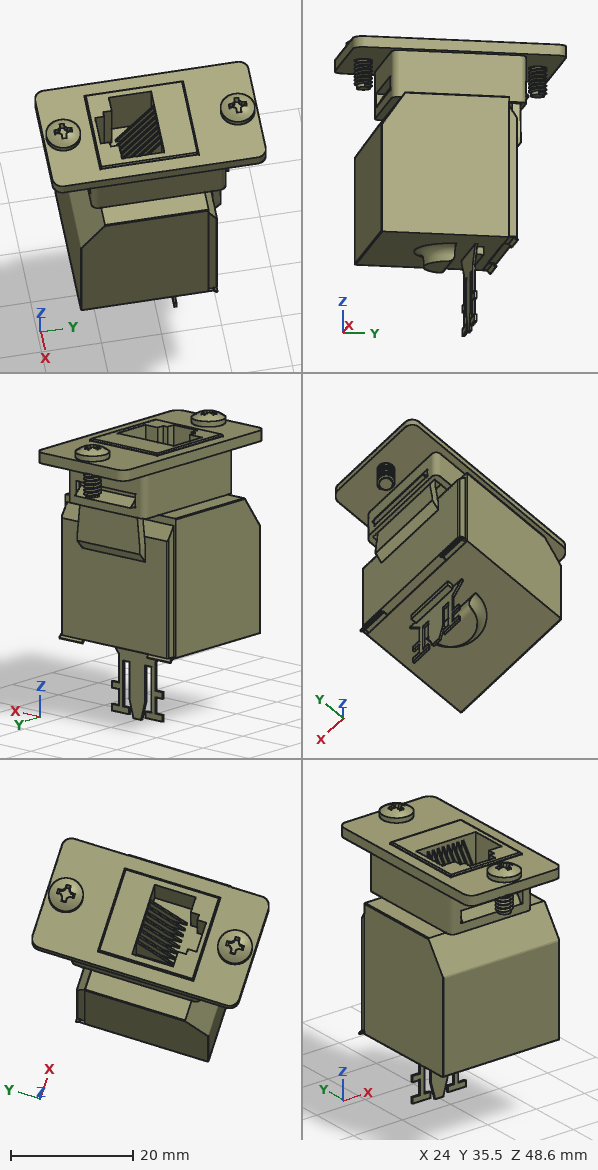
import cadquery as cq
import math


overall_height = 48.6

plate_width, plate_length, plate_thick = 19.25, 35.55, 1.85
plate_corner_radius = 1.65
sleeve_width, sleeve_length, sleeve_depth = 16.8, 22.4, 7.9
sleeve_corner_radius = 1.05
window_width, window_top, window_bottom = 12.75, -3.95, -6.2

nose_width, nose_front, nose_rear = 14.75, -9.7, 6.75
nose_rise, nose_chamfer = 0.35, 0.25
tooth_width = 12.05
port_width, port_rear, port_front = 12.25, 1.2, -5.85
port_floor = -7.05
key_steps = [(6.95, -7.25), (5.15, -8.75)]
contact_count, contact_pitch, contact_width = 8, 1.0, 0.35
contact_row_center = -0.1
contact_top, contact_end = 1.35, -5.15
arm_inner, arm_outer = 9.15, 10.5
arm_grip_width, arm_grip_top, arm_bevel_top, arm_bottom = 13.6, -13.35, -14.25, -15.8
bridge_depth = 1.45
rear_tooth_reach = 1.45

screw_spacing = 29.07
head_radius, head_side_height, head_height = 2.8, 0.95, 2.0
head_rim_radius = 0.2
shank_radius, root_radius = 1.45, 1.1
thread_pitch, thread_length = 0.65, 4.65
ridge_half_height, ridge_overlap = 0.3, 0.05
recess_length, recess_floor_length, recess_width, recess_depth = 3.1, 2.25, 0.75, 1.05

housing_width, housing_front, housing_rear = 24.0, -13.75, 7.55
housing_top, housing_bottom = -sleeve_depth, -31.55
front_slope_rear, front_slope_bottom = -9.7, -13.55
housing_chamfer = 0.15
stop_width, stop_front, stop_rear, stop_height = 8.75, 3.6, 4.7, 1.3
cover_width, cover_corner_chamfer = 23.15, 0.2
cover_rear, cover_top, cover_slope_bottom = 9.05, -9.15, -11.5
lip_length, lip_bend, lip_thick = 4.95, 8.35, 0.15
lip_hook_drop, lip_tip_width = 0.6, 0.2

grommet_rear, grommet_radius, grommet_height = -0.1, 4.35, 2.63
cove_radius, grommet_edge_radius = 1.55, 0.95

clip_y, clip_thick = 3.15, 0.4
shoulder_half, shoulder_bottom = 6.2, -34.45
leg_outer, leg_inner = 3.95, 3.05
slot_top = -35.45
barb_half, barb_top, barb_bottom = 5.5, -39.35, -40.45
foot_inner, foot_top, foot_bottom = 1.8, -43.2, -44.35
tongue_half, tongue_taper_top = 1.7, -41.6
tongue_tip_half = 0.85


def block(x_range, y_range, z_range):
    """Rectangular block between the given limits."""
    (x0, x1), (y0, y1), (z0, z1) = x_range, y_range, z_range
    return cq.Workplane("XY").box(x1 - x0, y1 - y0, z1 - z0, centered=False).translate((x0, y0, z0))


def centered_block(width, y_range, z_range):
    """Rectangular block symmetric about X = 0."""
    return block((-width / 2, width / 2), y_range, z_range)


def side_prism(points, width):
    """Prism of a (Y, Z) outline, symmetric about X = 0."""
    return cq.Workplane("YZ").polyline(points).close().extrude(width / 2, both=True)


def make_face_plate():
    plate = cq.Workplane("XY").rect(plate_width, plate_length).extrude(plate_thick)
    plate = plate.edges("|Z").fillet(plate_corner_radius)
    sleeve = cq.Workplane("XY").rect(sleeve_width, sleeve_length).extrude(-sleeve_depth)
    sleeve = sleeve.edges("|Z").fillet(sleeve_corner_radius)
    cavity = centered_block(nose_width, (nose_front, arm_outer), (-sleeve_depth, 0))
    opening = centered_block(nose_width, (nose_front, nose_rear), (0, plate_thick))
    windows = centered_block(window_width, (-sleeve_length, sleeve_length), (window_bottom, window_top))
    screw_holes = (
        cq.Workplane("XY")
        .pushPoints([(0, -screw_spacing / 2), (0, screw_spacing / 2)])
        .circle(shank_radius)
        .extrude(plate_thick)
    )
    return plate.union(sleeve).cut(cavity).cut(opening).cut(windows).cut(screw_holes)


def make_port():
    """Plug opening with its stepped key notch, as a cutting body."""
    top = plate_thick + nose_rise
    port = centered_block(port_width, (port_front, port_rear), (port_floor, top))
    for width, front in key_steps:
        port = port.union(centered_block(width, (front, port_rear), (port_floor, top)))
    return port


def make_contact(x):
    """One contact, a slanting rib that fills the corner below its sloping edge."""
    outline = [(port_rear, contact_top), (contact_end, port_floor), (port_rear, port_floor)]
    return side_prism(outline, contact_width).translate((x, 0, 0))


def make_latch_arm():
    """Flexible rear arm with a beveled, wider grip and a catch tooth."""
    profile = side_prism(
        [(arm_inner, 0), (arm_outer, 0), (arm_outer, arm_bevel_top), (arm_inner, arm_bottom)],
        arm_grip_width,
    )
    half_tooth, half_grip = tooth_width / 2, arm_grip_width / 2
    outline = [
        (-half_tooth, 0), (half_tooth, 0), (half_tooth, window_bottom),
        (half_grip, arm_grip_top), (half_grip, arm_bottom),
        (-half_grip, arm_bottom), (-half_grip, arm_grip_top), (-half_tooth, window_bottom),
    ]
    width_limit = cq.Workplane("XZ").polyline(outline).close().extrude(-sleeve_length)
    tooth = side_prism(
        [
            (arm_outer, window_bottom + rear_tooth_reach),
            (arm_outer, window_bottom),
            (arm_outer + rear_tooth_reach, window_bottom),
        ],
        tooth_width,
    )
    bridge = centered_block(tooth_width, (nose_rear, arm_outer), (-bridge_depth, 0))
    return profile.intersect(width_limit).union(tooth).union(bridge)


def make_jack():
    nose_top = plate_thick + nose_rise
    jack = centered_block(nose_width, (nose_front, nose_rear), (-sleeve_depth, nose_top))
    jack = jack.faces(">Z").edges().chamfer(nose_chamfer)
    front_tooth = side_prism(
        [(nose_front, window_top), (nose_front, window_bottom), (-sleeve_length / 2, window_bottom)],
        tooth_width,
    )
    jack = jack.cut(make_port()).union(front_tooth).union(make_latch_arm())
    for i in range(contact_count):
        jack = jack.union(make_contact(contact_row_center + (i - (contact_count - 1) / 2) * contact_pitch))
    return jack


def make_thread():
    """Root cylinder with a helical ridge between the plate and the screw tip."""
    base = root_radius - ridge_overlap
    ridge_bottom = ridge_half_height - thread_length
    helix = cq.Wire.makeHelix(thread_pitch, thread_length - 2 * ridge_half_height, base)
    ridge = (
        cq.Workplane("XZ")
        .polyline([(base, -ridge_half_height), (shank_radius, 0), (base, ridge_half_height)])
        .close()
        .sweep(cq.Workplane(obj=helix), isFrenet=True)
    )
    root = cq.Workplane("XY").circle(root_radius).extrude(-thread_length)
    return root.union(ridge.translate((0, 0, ridge_bottom)))


def make_recess():
    """Cross recess with sloping arm ends and a diamond-shaped middle."""
    top = plate_thick + head_height
    floor = top - recess_depth
    half_top, half_floor = recess_length / 2, recess_floor_length / 2
    arm = side_prism(
        [(-half_top, top), (half_top, top), (half_floor, floor), (-half_floor, floor)], recess_width
    )
    middle = cq.Workplane("XY").workplane(offset=floor).polygon(4, recess_floor_length).extrude(recess_depth)
    return middle.union(arm).union(arm.rotate((0, 0, 0), (0, 0, 1), 90))


def head_dome_radius():
    """Radius of the dome from the head's rim to its apex."""
    dome_rise = head_height - head_side_height
    return (head_radius**2 + dome_rise**2) / (2 * dome_rise)


def screw_peak():
    """Highest remaining height on the dome, at the edge of the recess's diamond middle."""
    dome_radius = head_dome_radius()
    edge_distance = recess_floor_length / 2 * math.sqrt(0.5)
    drop = dome_radius - math.sqrt(dome_radius**2 - edge_distance**2)
    return plate_thick + head_height - drop


def make_screw(y):
    side_top = plate_thick + head_side_height
    head_top = plate_thick + head_height
    dome_radius = head_dome_radius()
    half_angle = math.asin(head_radius / dome_radius) / 2
    dome_middle = (
        dome_radius * math.sin(half_angle),
        head_top - dome_radius * (1 - math.cos(half_angle)),
    )
    head = (
        cq.Workplane("XZ")
        .moveTo(0, plate_thick)
        .lineTo(head_radius, plate_thick)
        .lineTo(head_radius, side_top)
        .threePointArc(dome_middle, (0, head_top))
        .close()
        .revolve(360, (0, 0, 0), (0, 1, 0))
    )
    head = head.faces("<Z").edges().fillet(head_rim_radius)
    plain_shank = cq.Workplane("XY").circle(shank_radius).extrude(plate_thick)
    screw = head.union(plain_shank).union(make_thread()).cut(make_recess())
    return screw.translate((0, y, 0))


def make_housing():
    housing = side_prism(
        [
            (housing_rear, housing_bottom), (housing_rear, housing_top), (front_slope_rear, housing_top),
            (housing_front, front_slope_bottom), (housing_front, housing_bottom),
        ],
        housing_width,
    )
    housing = housing.faces("<Y").edges().chamfer(housing_chamfer)
    housing = housing.faces(">Z").edges("|Y").chamfer(housing_chamfer)
    stop = centered_block(
        stop_width, (stop_front, stop_rear), (housing_bottom - stop_height, housing_bottom)
    )
    return housing.union(stop)


def make_rear_cover():
    """Sloped rear plate with two thin lips, hooked downward, along its lower edge."""
    cover_bottom = housing_bottom + lip_thick
    cover = side_prism(
        [
            (housing_rear, cover_bottom), (housing_rear, cover_top),
            (cover_rear, cover_slope_bottom), (cover_rear, cover_bottom),
        ],
        cover_width,
    )
    cover = cover.faces(">Y").edges("|Z").chamfer(cover_corner_chamfer)
    hook_bottom = housing_bottom - lip_hook_drop
    lip = side_prism(
        [
            (housing_rear, housing_bottom), (housing_rear, cover_bottom),
            (lip_bend + lip_thick, cover_bottom),
            (cover_rear, hook_bottom + lip_tip_width), (cover_rear - lip_tip_width, hook_bottom),
            (lip_bend, housing_bottom),
        ],
        lip_length,
    )
    lip_offset = (housing_width - lip_length) / 2
    for side in (-1, 1):
        cover = cover.union(lip.translate((side * lip_offset, 0, 0)))
    return cover


def make_grommet():
    """Half-round cable outlet with a cove where it meets the housing."""
    cove_bottom = housing_bottom - cove_radius
    grommet_bottom = housing_bottom - grommet_height
    cove_outer = grommet_radius + cove_radius
    cove_offset = cove_radius * math.sqrt(0.5)
    cove_middle = (cove_outer - cove_offset, cove_bottom + cove_offset)
    grommet = (
        cq.Workplane("XZ")
        .moveTo(0, housing_bottom)
        .lineTo(cove_outer, housing_bottom)
        .threePointArc(cove_middle, (grommet_radius, cove_bottom))
        .lineTo(grommet_radius, grommet_bottom)
        .lineTo(0, grommet_bottom)
        .close()
        .revolve(180, (0, 0, 0), (0, -1, 0))
    )
    grommet = grommet.faces(">Y").edges("<Z").fillet(grommet_edge_radius)
    return grommet.translate((0, grommet_rear, 0))


def make_clip():
    """Flat clip with shoulders, two barbed legs and a pointed tongue."""
    clip_bottom = screw_peak() - overall_height
    right_side = [
        (shoulder_half, housing_bottom), (leg_outer, shoulder_bottom),
        (leg_outer, barb_top), (barb_half, barb_top), (barb_half, barb_bottom), (leg_outer, barb_bottom),
        (leg_outer, foot_top), (barb_half, foot_top), (barb_half, foot_bottom), (foot_inner, foot_bottom),
        (foot_inner, foot_top), (leg_inner, foot_top), (leg_inner, slot_top), (tongue_half, slot_top),
        (tongue_half, tongue_taper_top), (tongue_tip_half, clip_bottom),
    ]
    left_side = [(-x, z) for x, z in reversed(right_side)]
    clip = cq.Workplane("XZ").polyline(right_side + left_side).close().extrude(clip_thick / 2, both=True)
    return clip.translate((0, clip_y, 0))


face_plate = make_face_plate()
jack = make_jack()
screws = [make_screw(side * screw_spacing / 2) for side in (-1, 1)]
housing = make_housing()
rear_cover = make_rear_cover()
grommet = make_grommet()
clip = make_clip()

result = cq.Compound.makeCompound(
    [
        face_plate.val(),
        jack.val(),
        *[screw.val() for screw in screws],
        housing.val(),
        rear_cover.val(),
        grommet.val(),
        clip.val(),
    ]
)